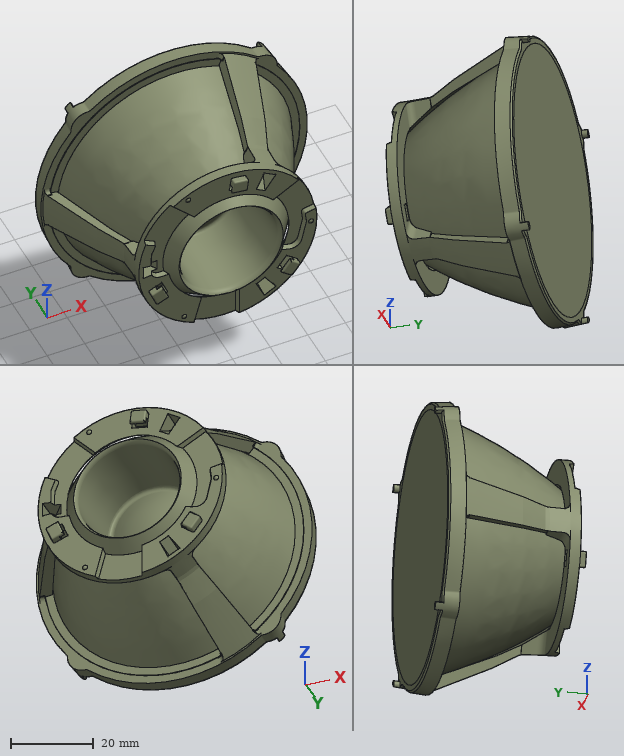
import cadquery as cq
import math


HOOK_TIP_Y = 0.0
BASE_FRONT_Y = 1.85
RECESS_FLOOR_Y = 3.05
BASE_BACK_Y = 4.5
FLANGE_FRONT_Y = 32.2
RIM_FRONT_Y = 32.4
RIM_BACK_Y = 36.7
PIN_TIP_Y = 38.15

RIM_RADIUS = 35.4
RIM_DRAFT = 0.35
RIM_CHAMFER = 0.4
SEAT_RADIUS = 66.6 / 2
EAR_ANGLES = (45, 135, 225, 315)
EAR_RADIUS = 4.45
EAR_CENTRE = 32.4
EAR_FILLET = 0.85
PIN_DIAMETER = 2.05
PIN_CENTRE = 36.2

LENS_TOP_RADIUS = 31.15
LENS_MID = (24.15, 16.1)
LENS_TIP_RADIUS = 13.8
MOUTH_MID = (13.3, 0.6)
MOUTH_DEPTH = 1.4
BORE_MOUTH_RADIUS = 13.0
BORE_END_RADIUS = 12.2
BORE_DEPTH = 21.25
BORE_CORNER = 0.85
DOME_HEIGHT = 3.9

BASE_RADIUS = 23.65
HOLE_FRONT_RADIUS = 15.9
HOLE_SLOPE = 0.65
STEP_LINE_ANGLE = 135
STEP_SPREAD = 15
STEP_OFFSET = 2.55
RECESS_DRAFT = 22
RECESS_INNER = 12.75
RECESS_OUTER = 26.9
WINDING_WALL = [(-25.5, 11.4), (-18.55, 8.0), (-19.75, 5.1), (-20.0, -2.6), (-15.6, -2.6)]
WALL_SMALL_ROUND = 0.85
WALL_LARGE_ROUND = 2.1
CORNER_TOLERANCE = 0.01
STEP_ANGLE = 120

LEG_ANGLES = (60, 180, 300)
LEG_FOOT_HALF_WIDTH = 3.1
LEG_TOP_HALF_WIDTH = 4.95
LEG_FOOT_RADIUS = 23.85
LEG_FOOT_TOP_Y = 10.1
LEG_FOOT_FILLET = 1.8
LEG_FLARE = 1.0
LEG_FLARE_RADIUS = 32.9
LEG_ROOT = 0.7
LEG_OUTER_TOP = 34.9
LEG_INNER_TOP = 31.4
LEG_OUTER_BREAK = (27.7, 16.9)
LEG_INNER_BREAK = (24.6, 16.1)
LEG_INNER_FOOT_RADIUS = 21.5
LEG_FOOT_BEVEL = (24.15, 10.7)
LEG_FOOT_BEVEL_Y = 9.6

POCKET_DRAFT = 3
POCKET_INNER = 17.4
POCKET_OUTER = 22.45
POCKET_INNER_WIDTH = 2.6
POCKET_OUTER_WIDTH = 3.55

HOOK_ANGLE = 82.5
HOOK_WIDTH = 3.95
HOOK_INNER = 18.6
HOOK_OUTER = 22.0
HOOK_STEM = 2.05
HOOK_PLATE = 0.85
HOOK_FILLET = 0.4
WINDOW_INNER = 18.1
BUMP_ANGLE = 118.4
BUMP_CENTRE = 22.1
BUMP_RADIUS = 0.65
BUMP_HEIGHT = 0.35

BAND_HALF_HEIGHT = 0.35

AXIS_START = (0, 0, 0)
AXIS_END = (0, -1, 0)


def turned(shape, angle):
    return shape.rotate(AXIS_START, AXIS_END, angle)


def revolved(points):
    """Solid of revolution about Y from (radius, height) points."""
    return cq.Workplane("XY").polyline(points).close().revolve(360, (0, 0), (0, 1))


def plane_at(height):
    """Plane across the axis; negative extrusions go toward +Y."""
    return cq.Workplane("XZ", origin=(0, height, 0))


def height_band(height):
    """Selector for edges whose middle lies close to a height."""
    low = (-RIM_RADIUS, height - BAND_HALF_HEIGHT, -RIM_RADIUS)
    high = (RIM_RADIUS, height + BAND_HALF_HEIGHT, RIM_RADIUS)
    return cq.selectors.BoxSelector(low, high)


def hole_radius(height):
    return HOLE_FRONT_RADIUS + HOLE_SLOPE * (height - BASE_FRONT_Y)


def polar(radius, angle):
    return (radius * math.cos(math.radians(angle)), radius * math.sin(math.radians(angle)))


def make_lens():
    """Solid optic with a curved flank and a blind bore that ends in a dome facing the mouth."""
    dome_chord = math.hypot(BORE_END_RADIUS, DOME_HEIGHT)
    dome_radius = dome_chord ** 2 / (2 * DOME_HEIGHT)
    mid_radius = BORE_END_RADIUS / 2
    mid_drop = dome_radius - math.sqrt(dome_radius ** 2 - mid_radius ** 2)
    apex_y = BORE_DEPTH - DOME_HEIGHT
    lens = (
        cq.Workplane("XY")
        .moveTo(0, RIM_BACK_Y)
        .lineTo(SEAT_RADIUS, RIM_BACK_Y)
        .lineTo(SEAT_RADIUS, FLANGE_FRONT_Y)
        .lineTo(LENS_TOP_RADIUS, FLANGE_FRONT_Y)
        .threePointArc(LENS_MID, (LENS_TIP_RADIUS, 0))
        .threePointArc(MOUTH_MID, (BORE_MOUTH_RADIUS, MOUTH_DEPTH))
        .lineTo(BORE_END_RADIUS, BORE_DEPTH)
        .threePointArc((mid_radius, apex_y + mid_drop), (0, apex_y))
        .close()
        .revolve(360, (0, 0), (0, 1))
    )
    return lens.edges(height_band(BORE_DEPTH)).fillet(BORE_CORNER)


def tapered_disc(radius, height, top_y):
    """Disc with the draft of the rim, from the front of the rim up to top_y."""
    draft = RIM_DRAFT * height / (RIM_BACK_Y - RIM_FRONT_Y)
    return revolved([(0, RIM_FRONT_Y), (radius, RIM_FRONT_Y), (radius - draft, top_y), (0, top_y)])


def make_rim():
    thickness = RIM_BACK_Y - RIM_FRONT_Y
    rim = tapered_disc(RIM_RADIUS, thickness, RIM_BACK_Y)
    ear = tapered_disc(EAR_RADIUS, thickness, RIM_BACK_Y).translate((EAR_CENTRE, 0, 0))
    for angle in EAR_ANGLES:
        rim = rim.union(turned(ear, angle))
    rim = rim.edges(height_band(RIM_FRONT_Y + thickness / 2)).fillet(EAR_FILLET)
    rim = rim.faces(">Y").edges().chamfer(RIM_CHAMFER)

    pin_start = RIM_BACK_Y - RIM_CHAMFER
    ear_column = tapered_disc(EAR_RADIUS, PIN_TIP_Y - RIM_FRONT_Y, PIN_TIP_Y)
    pin = (
        plane_at(pin_start)
        .center(PIN_CENTRE, 0)
        .circle(PIN_DIAMETER / 2)
        .extrude(pin_start - PIN_TIP_Y)
        .intersect(ear_column.translate((EAR_CENTRE, 0, 0)))
    )
    for angle in EAR_ANGLES:
        rim = rim.union(turned(pin, angle))
    seat = plane_at(RIM_FRONT_Y).circle(SEAT_RADIUS).extrude(RIM_FRONT_Y - PIN_TIP_Y)
    return rim.cut(seat)


def step_point(along, direction, offset):
    """Point on a step line parallel to a radius, offset counter-clockwise from it."""
    along_x, along_z = polar(along, direction)
    side_x, side_z = polar(offset, direction + 90)
    return (along_x + side_x, along_z + side_z)


def sunken(floor_outline):
    """Recess standing on its floor outline, with walls that widen toward the front face."""
    return (
        plane_at(RECESS_FLOOR_Y)
        .add(floor_outline)
        .toPending()
        .extrude(RECESS_FLOOR_Y - BASE_FRONT_Y, taper=-RECESS_DRAFT)
    )


def rounded(wire, corners, radius):
    """Wire with a fillet at each of the given (x, z) corners."""
    vertices = [
        vertex
        for vertex in wire.Vertices()
        for x, z in corners
        if math.hypot(vertex.X - x, vertex.Z - z) < CORNER_TOLERANCE
    ]
    return wire.fillet2D(radius, vertices)


def make_plain_recess():
    """Sector between two step lines, opposite the hook axis."""
    outline = [
        step_point(RECESS_INNER, STEP_LINE_ANGLE + STEP_ANGLE, -STEP_OFFSET),
        step_point(RECESS_OUTER, STEP_LINE_ANGLE + STEP_ANGLE, -STEP_OFFSET),
        step_point(RECESS_OUTER, STEP_LINE_ANGLE + STEP_ANGLE + STEP_SPREAD, STEP_OFFSET),
        step_point(RECESS_INNER, STEP_LINE_ANGLE + STEP_ANGLE + STEP_SPREAD, STEP_OFFSET),
    ]
    return sunken(plane_at(RECESS_FLOOR_Y).polyline(outline).close().val())


def make_curved_recess():
    """Sector between a step line and a wall that winds around the foot of the leg at 180 degrees."""
    outline = [
        step_point(RECESS_INNER, STEP_LINE_ANGLE, -STEP_OFFSET),
        step_point(RECESS_OUTER, STEP_LINE_ANGLE, -STEP_OFFSET),
        *WINDING_WALL,
        (-RECESS_INNER, WINDING_WALL[-1][1]),
    ]
    floor = plane_at(RECESS_FLOOR_Y).polyline(outline).close().val()
    floor = rounded(floor, WINDING_WALL[1:3], WALL_SMALL_ROUND)
    floor = rounded(floor, WINDING_WALL[3:4], WALL_LARGE_ROUND)
    return sunken(floor)


def mirrored_about_hook(shape):
    """Mirror image in the plane through the axis and the first hook."""
    level = turned(shape, -HOOK_ANGLE)
    return turned(level.mirror("XY"), HOOK_ANGLE)


def make_base():
    base = revolved([
        (hole_radius(BASE_FRONT_Y), BASE_FRONT_Y),
        (BASE_RADIUS, BASE_FRONT_Y),
        (BASE_RADIUS, BASE_BACK_Y),
        (hole_radius(BASE_BACK_Y), BASE_BACK_Y),
    ])
    curved_recess = make_curved_recess()
    base = base.cut(make_plain_recess())
    base = base.cut(curved_recess)
    return base.cut(mirrored_about_hook(curved_recess))


def make_leg():
    """Leg along +X: a revolved section trimmed to the leg's width."""
    root_y = RIM_FRONT_Y + LEG_ROOT
    section = revolved([
        (SEAT_RADIUS, FLANGE_FRONT_Y),
        (SEAT_RADIUS, root_y),
        (LEG_OUTER_TOP, root_y),
        (LEG_OUTER_TOP, RIM_FRONT_Y),
        LEG_OUTER_BREAK,
        LEG_FOOT_BEVEL,
        (LEG_FOOT_RADIUS, LEG_FOOT_BEVEL_Y),
        (BASE_RADIUS, BASE_BACK_Y),
        (hole_radius(BASE_BACK_Y), BASE_BACK_Y),
        (LEG_INNER_FOOT_RADIUS, LEG_FOOT_TOP_Y),
        LEG_INNER_BREAK,
        (LEG_INNER_TOP, FLANGE_FRONT_Y),
    ])
    fillet_y = BASE_BACK_Y + LEG_FOOT_FILLET
    fillet_half_width = LEG_FOOT_HALF_WIDTH + LEG_FOOT_FILLET
    arc_step = LEG_FOOT_FILLET * (1 - math.sqrt(0.5))
    arc_mid = (BASE_BACK_Y + arc_step, LEG_FOOT_HALF_WIDTH + arc_step)
    foot = (
        cq.Workplane("YZ")
        .moveTo(LEG_FOOT_TOP_Y, LEG_FOOT_HALF_WIDTH)
        .lineTo(fillet_y, LEG_FOOT_HALF_WIDTH)
        .threePointArc(arc_mid, (BASE_BACK_Y, fillet_half_width))
        .lineTo(BASE_BACK_Y, -fillet_half_width)
        .threePointArc((arc_mid[0], -arc_mid[1]), (fillet_y, -LEG_FOOT_HALF_WIDTH))
        .lineTo(LEG_FOOT_TOP_Y, -LEG_FOOT_HALF_WIDTH)
        .close()
        .extrude(RIM_RADIUS)
    )
    widening = (LEG_TOP_HALF_WIDTH - LEG_FOOT_HALF_WIDTH) / (LEG_OUTER_TOP - LEG_FOOT_RADIUS)
    axis_half_width = LEG_FOOT_HALF_WIDTH - widening * LEG_FOOT_RADIUS
    rim_half_width = LEG_FOOT_HALF_WIDTH + widening * (RIM_RADIUS - LEG_FOOT_RADIUS)
    inner_half_width = axis_half_width + widening * HOLE_FRONT_RADIUS
    arm = (
        plane_at(LEG_FOOT_TOP_Y)
        .polyline([
            (HOLE_FRONT_RADIUS, -inner_half_width),
            (RIM_RADIUS, -rim_half_width),
            (RIM_RADIUS, rim_half_width),
            (HOLE_FRONT_RADIUS, inner_half_width),
        ])
        .close()
        .extrude(LEG_FOOT_TOP_Y - root_y)
    )
    flare_start = RIM_FRONT_Y - LEG_FLARE
    flare_half_width = LEG_TOP_HALF_WIDTH + LEG_FLARE
    arc_step = LEG_FLARE * (1 - math.sqrt(0.5))
    arc_mid = (RIM_FRONT_Y - arc_step, LEG_TOP_HALF_WIDTH + arc_step)
    flare = (
        cq.Workplane("YZ", origin=(LEG_FLARE_RADIUS, 0, 0))
        .moveTo(flare_start, -LEG_TOP_HALF_WIDTH)
        .threePointArc((arc_mid[0], -arc_mid[1]), (RIM_FRONT_Y, -flare_half_width))
        .lineTo(RIM_FRONT_Y, flare_half_width)
        .threePointArc(arc_mid, (flare_start, LEG_TOP_HALF_WIDTH))
        .close()
        .extrude(RIM_RADIUS - LEG_FLARE_RADIUS)
    )
    return section.intersect(foot.union(arm).union(flare))


def make_pocket():
    depth = (POCKET_OUTER - POCKET_INNER) / HOLE_SLOPE
    plan = (
        plane_at(BASE_FRONT_Y)
        .polyline([
            (POCKET_INNER, -POCKET_INNER_WIDTH / 2),
            (POCKET_OUTER, -POCKET_OUTER_WIDTH / 2),
            (POCKET_OUTER, POCKET_OUTER_WIDTH / 2),
            (POCKET_INNER, POCKET_INNER_WIDTH / 2),
        ])
        .close()
        .extrude(-depth, taper=POCKET_DRAFT)
    )
    ramp = (
        cq.Workplane("XY")
        .polyline([
            (POCKET_INNER, BASE_FRONT_Y),
            (POCKET_OUTER, BASE_FRONT_Y),
            (POCKET_OUTER, BASE_FRONT_Y + depth),
        ])
        .close()
        .extrude(POCKET_OUTER_WIDTH, both=True)
    )
    return plan.intersect(ramp)


def box(x_range, y_range, width):
    return cq.Workplane("XY").box(
        x_range[1] - x_range[0], y_range[1] - y_range[0], width, centered=(False, False, True)
    ).translate((x_range[0], y_range[0], 0))


def make_hook():
    stem_inner = HOOK_OUTER - HOOK_STEM
    stem = box((stem_inner, HOOK_OUTER), (HOOK_TIP_Y, BASE_FRONT_Y), HOOK_WIDTH)
    plate = box((HOOK_INNER, HOOK_OUTER), (HOOK_TIP_Y, HOOK_TIP_Y + HOOK_PLATE), HOOK_WIDTH)
    hook = stem.union(plate)
    hook = hook.faces(">X").edges("|Y").fillet(HOOK_FILLET)
    return hook.faces("<Y").edges().fillet(HOOK_FILLET)


def make_window():
    stem_inner = HOOK_OUTER - HOOK_STEM
    return box((WINDOW_INNER, stem_inner), (BASE_FRONT_Y, BASE_BACK_Y), HOOK_WIDTH)


def make_bump():
    """Low spherical bump on the front face of the base ring."""
    ball_radius = (BUMP_RADIUS ** 2 + BUMP_HEIGHT ** 2) / (2 * BUMP_HEIGHT)
    centre_y = BASE_FRONT_Y - BUMP_HEIGHT + ball_radius
    return cq.Workplane("XY").sphere(ball_radius).translate((BUMP_CENTRE, centre_y, 0))


def make_holder():
    holder = make_base()
    for angle in LEG_ANGLES:
        holder = holder.union(turned(make_leg(), angle))
    holder = holder.union(make_rim())
    for angle in LEG_ANGLES:
        holder = holder.cut(turned(make_pocket(), angle))
    for turn in (0, STEP_ANGLE, 2 * STEP_ANGLE):
        holder = holder.cut(turned(make_window(), HOOK_ANGLE + turn))
        holder = holder.union(turned(make_hook(), HOOK_ANGLE + turn))
        holder = holder.union(turned(make_bump(), BUMP_ANGLE + turn))
    return holder


lens = make_lens()
holder = make_holder()
result = cq.Compound.makeCompound([lens.val(), holder.val()])